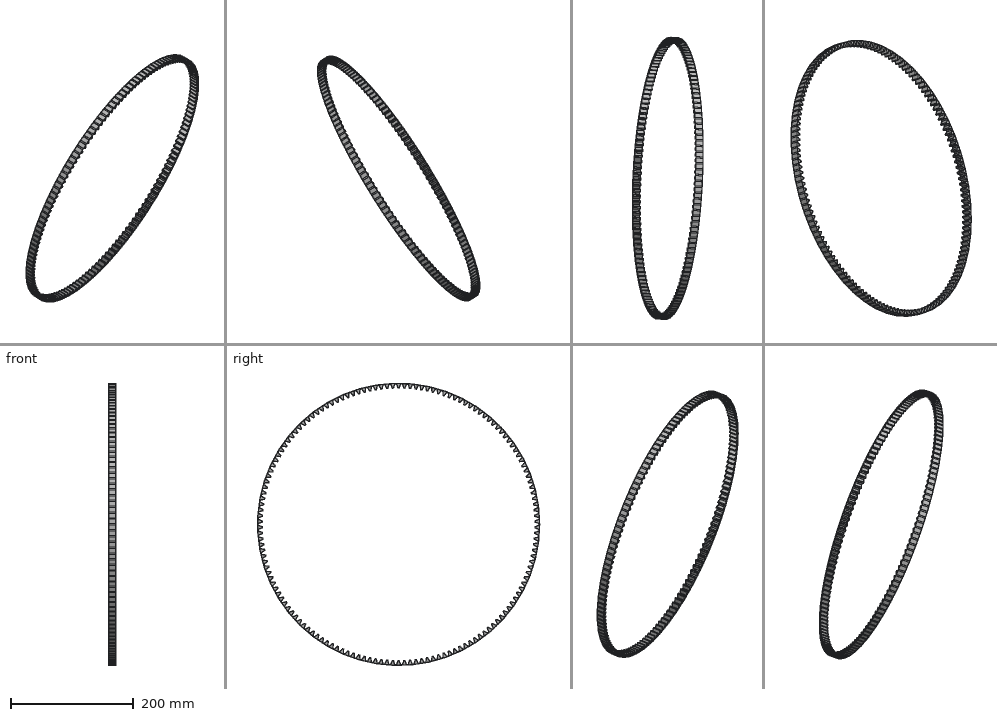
import cadquery as cq
import math

module = 3.0
tooth_count = 150
pressure_angle = math.radians(20.0)
face_width = 12.0
outer_diameter = 460.0
tooth_thinning = 0.28

addendum = module
dedendum_factor = 1.25
dedendum = dedendum_factor * module
pitch_radius = module * tooth_count / 2
tip_radius = pitch_radius - addendum
root_radius = pitch_radius + dedendum
base_radius = pitch_radius * math.cos(pressure_angle)
outer_radius = outer_diameter / 2

pitch_angle = 2 * math.pi / tooth_count
first_tooth_angle = math.pi / 2


def involute(angle):
    return math.tan(angle) - angle


def half_tooth_angle(radius):
    """Half the angle a tooth spans at a radius; it grows toward the rim."""
    flank_angle = math.acos(base_radius / radius)
    pitch_half_angle = pitch_angle / 4 - tooth_thinning / pitch_radius
    return pitch_half_angle + involute(flank_angle) - involute(pressure_angle)


def polar(radius, angle):
    return (radius * math.cos(angle), radius * math.sin(angle))


def add_tooth_and_gap(outline, centre):
    """Continue from the tooth's first root corner to that of the next tooth."""
    half_root = half_tooth_angle(root_radius)
    half_pitch = half_tooth_angle(pitch_radius)
    half_tip = half_tooth_angle(tip_radius)
    next_centre = centre + pitch_angle
    return (
        outline
        .threePointArc(polar(pitch_radius, centre - half_pitch), polar(tip_radius, centre - half_tip))
        .threePointArc(polar(tip_radius, centre), polar(tip_radius, centre + half_tip))
        .threePointArc(polar(pitch_radius, centre + half_pitch), polar(root_radius, centre + half_root))
        .threePointArc(
            polar(root_radius, centre + pitch_angle / 2),
            polar(root_radius, next_centre - half_root),
        )
    )


def make_bore():
    """Solid that fills the toothed opening of the ring."""
    start = polar(root_radius, first_tooth_angle - half_tooth_angle(root_radius))
    outline = cq.Workplane("YZ").workplane(offset=-face_width / 2).moveTo(*start)
    for index in range(tooth_count):
        outline = add_tooth_and_gap(outline, first_tooth_angle + index * pitch_angle)
    return outline.close().extrude(face_width)


blank = cq.Workplane("YZ").workplane(offset=-face_width / 2).circle(outer_radius).extrude(face_width)
result = blank.cut(make_bore())